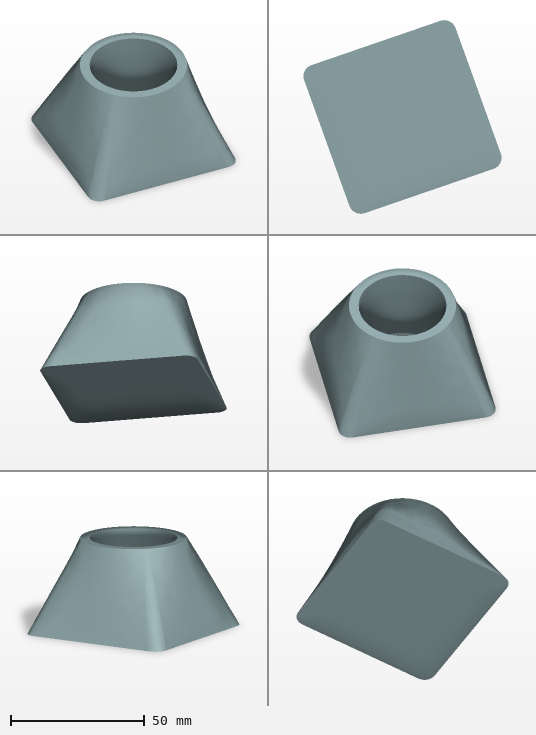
import cadquery as cq

base_side = 60.0
edge_fillet = 5.0
height = 35.0
rim_diameter = 40.0
bore_diameter = 32.75
floor_thickness = 5.0
bore_depth = height - floor_thickness


def rim_wire():
    """Round rim split into four quarter arcs that meet on the square's diagonals."""
    radius = rim_diameter / 2
    diagonal = radius / 2**0.5
    return (
        cq.Workplane("XY")
        .workplane(offset=height)
        .moveTo(-diagonal, -diagonal)
        .threePointArc((0, -radius), (diagonal, -diagonal))
        .threePointArc((radius, 0), (diagonal, diagonal))
        .threePointArc((0, radius), (-diagonal, diagonal))
        .threePointArc((-radius, 0), (-diagonal, -diagonal))
        .close()
        .val()
    )


base_wire = cq.Workplane("XY").rect(base_side, base_side).val()
body = cq.Workplane(cq.Solid.makeLoft([base_wire, rim_wire()]))
body = body.edges("not(<Z or >Z)").fillet(edge_fillet)

bore = (
    cq.Workplane("XY")
    .workplane(offset=floor_thickness)
    .circle(bore_diameter / 2)
    .extrude(bore_depth)
)

result = body.cut(bore)